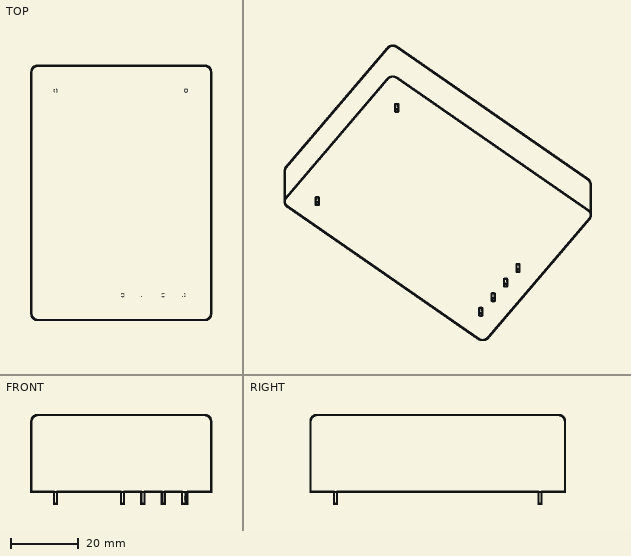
import cadquery as cq


case_width = 53.0
case_length = 75.0
case_height = 22.7
edge_radius = 2.0

pin_diameter = 1.0
pin_length = 3.5
pin_row_spacing = 60.2

front_pin_count = 4
front_pin_pitch = 6.0
first_front_pin_x = 0.38
front_row_x = [first_front_pin_x + i * front_pin_pitch for i in range(front_pin_count)]

back_pin_pitch = 38.4
first_back_pin_x = -19.35
back_row_x = [first_back_pin_x, first_back_pin_x + back_pin_pitch]


def make_case():
    """Box with rounded vertical and top edges and a flat, sharp-edged underside."""
    box = cq.Workplane("XY").box(case_width, case_length, case_height, centered=(True, True, False))
    return box.edges("|Z or >Z").fillet(edge_radius)


def make_pin_row(x_positions, row_y):
    """Row of round pins hanging from the underside of the case."""
    centres = [(x, row_y) for x in x_positions]
    return cq.Workplane("XY").pushPoints(centres).circle(pin_diameter / 2).extrude(-pin_length)


front_row = make_pin_row(front_row_x, -pin_row_spacing / 2)
back_row = make_pin_row(back_row_x, pin_row_spacing / 2)

result = make_case().union(front_row).union(back_row)